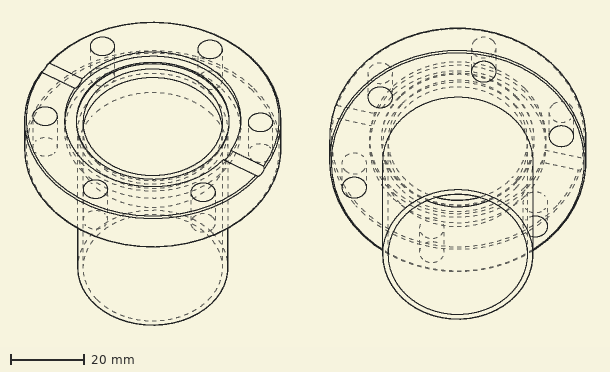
import cadquery as cq

total_height = 63.0
flange_diameter = 70.0
flange_thickness = 13.0
edge_chamfer = 0.5
flange_bottom = total_height - flange_thickness

tube_diameter = 41.0
bore_diameter = 38.0

recess_diameter = 48.1
knife_diameter = 41.7
knife_depth = 0.6
recess_edge_depth = 1.8
inner_floor_depth = 1.25
tube_end_depth = 4.9
tube_top = total_height - tube_end_depth

bolt_count = 6
bolt_circle_diameter = 58.8
bolt_hole_diameter = 6.65
first_bolt_angle = 30.0

groove_width = 3.9
groove_depth = 1.05
groove_radius = ((groove_width / 2) ** 2 + groove_depth ** 2) / (2 * groove_depth)
groove_axis_height = total_height - groove_depth + groove_radius


def cylinder(diameter, bottom, top):
    """Solid cylinder on the part axis between two heights."""
    return cq.Workplane("XY").workplane(offset=bottom).circle(diameter / 2).extrude(top - bottom)


def make_bolt_holes():
    """Cutters for the ring of through holes."""
    return (
        cq.Workplane("XY")
        .workplane(offset=flange_bottom)
        .polarArray(bolt_circle_diameter / 2, first_bolt_angle, 360, bolt_count)
        .circle(bolt_hole_diameter / 2)
        .extrude(flange_thickness)
    )


def make_groove():
    """Cutter along X for both leak-check grooves."""
    return (
        cq.Workplane("YZ")
        .center(0, groove_axis_height)
        .circle(groove_radius)
        .extrude(flange_diameter / 2, both=True)
    )


def make_flange_ring():
    """Bolted ring with a seat for the insert and a bore for the tube."""
    blank = cylinder(flange_diameter, flange_bottom, total_height)
    blank = blank.faces("<Z or >Z").edges().chamfer(edge_chamfer)
    insert_seat = cylinder(recess_diameter, tube_top, total_height)
    tube_bore = cylinder(tube_diameter, flange_bottom, tube_top)
    return blank.cut(insert_seat).cut(tube_bore).cut(make_bolt_holes()).cut(make_groove())


def make_knife_insert():
    """Sealing insert: a cone rises inward to the knife edge, then drops to a flat floor."""
    profile = [
        (bore_diameter / 2, tube_top),
        (recess_diameter / 2, tube_top),
        (recess_diameter / 2, total_height - recess_edge_depth),
        (knife_diameter / 2, total_height - knife_depth),
        (knife_diameter / 2, total_height - inner_floor_depth),
        (bore_diameter / 2, total_height - inner_floor_depth),
    ]
    return cq.Workplane("XZ").polyline(profile).close().revolve(360, (0, 0, 0), (0, 1, 0))


def make_tube():
    """Plain tube butting against the underside of the insert."""
    return cylinder(tube_diameter, 0, tube_top).cut(cylinder(bore_diameter, 0, tube_top))


flange_ring = make_flange_ring()
knife_insert = make_knife_insert()
tube = make_tube()

result = cq.Compound.makeCompound([flange_ring.val(), knife_insert.val(), tube.val()])